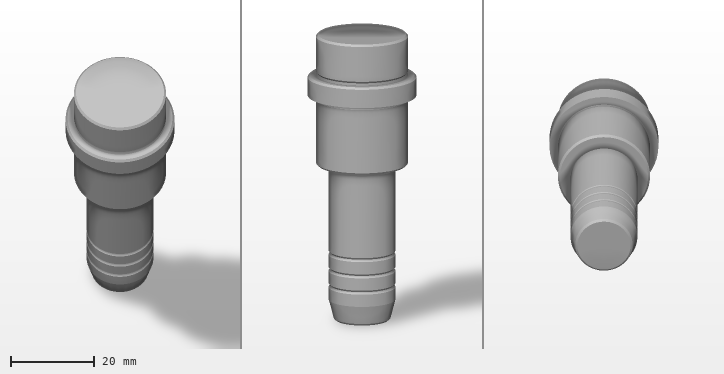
import cadquery as cq

total_length = 70.0
collar_diameter = 26.0
body_diameter = 22.0
stem_diameter = 15.95
neck_diameter = 15.0

collar_top = 60.0
collar_bottom = 55.0
body_bottom = 38.0
neck_bottom = 37.0
taper_top = 5.0

chamfer = 0.5
groove_depth = 0.5
groove_width = 2 * groove_depth
tip_diameter = 13.65
stem_groove_count = 3
stem_groove_pitch = 4.0
lowest_groove_center = 8.5


def cylinder(diameter, bottom, top):
    """Cylinder on the Z axis between two heights."""
    return cq.Workplane("XY").workplane(offset=bottom).circle(diameter / 2).extrude(top - bottom)


def v_groove(diameter, center):
    """Ring with a V section that cuts into a cylinder of the given diameter."""
    radius = diameter / 2
    section = [
        (radius, center - groove_width / 2),
        (radius - groove_depth, center),
        (radius, center + groove_width / 2),
    ]
    return cq.Workplane("XZ").polyline(section).close().revolve(360, (0, 0, 0), (0, 1, 0))


def make_body():
    """Body and head with the collar between two relief grooves."""
    body = cylinder(body_diameter, body_bottom, total_length).edges().chamfer(chamfer)
    body = body.cut(v_groove(body_diameter, collar_top + groove_width / 2))
    body = body.cut(v_groove(body_diameter, collar_bottom - groove_width / 2))
    collar = cylinder(collar_diameter, collar_bottom, collar_top).edges(">Z").chamfer(chamfer)
    return body.union(collar)


def make_stem():
    """Grooved stem with a tapered, chamfered tip."""
    stem_radius = stem_diameter / 2
    tip_radius = tip_diameter / 2
    outline = [
        (0, 0),
        (tip_radius - chamfer, 0),
        (tip_radius, chamfer),
        (stem_radius, taper_top),
        (stem_radius, neck_bottom),
        (0, neck_bottom),
    ]
    stem = cq.Workplane("XZ").polyline(outline).close().revolve(360, (0, 0, 0), (0, 1, 0))
    for index in range(stem_groove_count):
        center = lowest_groove_center + index * stem_groove_pitch
        stem = stem.cut(v_groove(stem_diameter, center))
    return stem


neck = cylinder(neck_diameter, neck_bottom, body_bottom)
result = make_body().union(neck).union(make_stem())